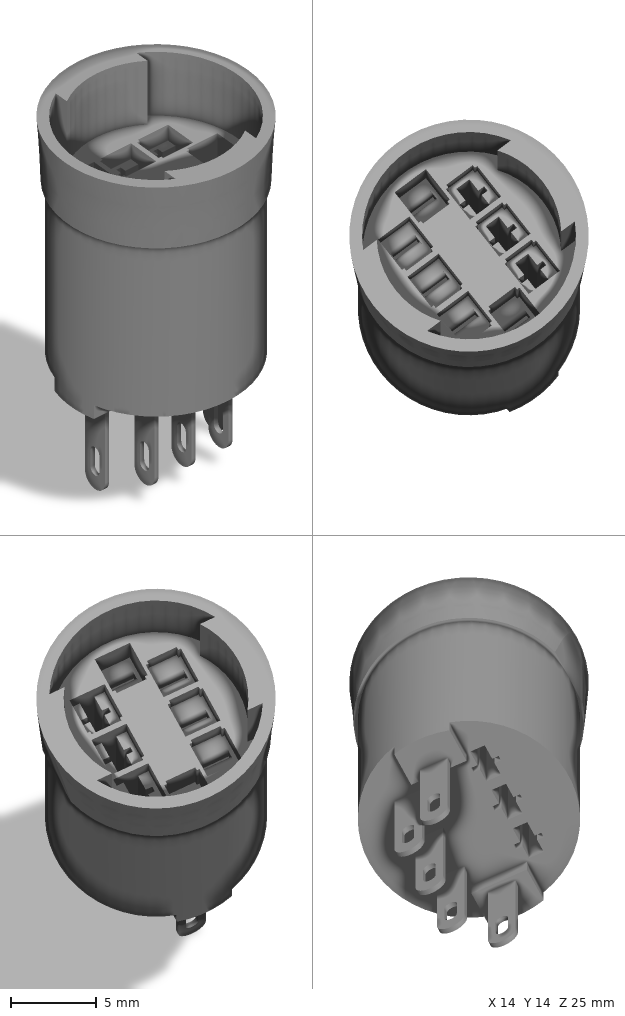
import cadquery as cq

total_height = 25.0
collar_height = 4.62
socket_depth = 4.65
body_bottom = 7.9
tab_height = 1.0
collar_bottom = total_height - collar_height
socket_floor = total_height - socket_depth
tab_bottom = body_bottom - tab_height

body_radius = 6.5
rim_radius = 7.0
collar_foot_radius = 6.75
socket_radius = 6.25

key_radius = 5.4
key_half_width = 3.08

tab_width = 3.6
tab_inner_y = 4.0

column_x = 2.5
row_pitch = 2.82
outer_cell_y = 4.5
cell_size = 2.3
relief_width = 1.95
relief_depth = 0.2
cell_depth = 1.15
deep_cell_depth = cell_depth + tab_height

keyway_width = 0.95
keyway_foot = 1.02

pin_width = 1.8
pin_thickness = 0.32
pin_root_depth = 0.38
short_pin_tip = tab_height
long_pin_tip = 0.0
eye_width = 0.8
eye_length = 2.05
eye_above_tip = 2.02
mouth_width = 0.82
mouth_gap = 0.3
mouth_depth = 0.75
lead_in_radius = (mouth_width - mouth_gap) / 2


def box_between(x_range, y_range, z_range):
    """Box spanning the given (low, high) ranges along X, Y and Z."""
    spans = [high - low for low, high in (x_range, y_range, z_range)]
    corner = (x_range[0], y_range[0], z_range[0])
    return cq.Workplane("XY").box(*spans, centered=False).translate(corner)


def cylinder(radius, bottom, top):
    return cq.Workplane("XY").workplane(offset=bottom).circle(radius).extrude(top - bottom)


def make_collar():
    """Conical collar with one flat, leaning outward from the body to the rim, on the -X side."""
    collar = (
        cq.Workplane("XZ")
        .moveTo(0, collar_bottom)
        .lineTo(collar_foot_radius, collar_bottom)
        .lineTo(rim_radius, total_height)
        .lineTo(0, total_height)
        .close()
        .revolve(360, (0, 0), (0, 1))
    )
    flat_cutter = (
        cq.Workplane("XZ")
        .polyline([
            (-rim_radius, total_height),
            (-body_radius, collar_bottom),
            (-rim_radius, collar_bottom),
        ])
        .close()
        .extrude(rim_radius, both=True)
    )
    return collar.cut(flat_cutter)


def make_socket():
    """Round socket, narrowed by the two keys that reach from floor to rim."""
    wide = cylinder(socket_radius, socket_floor, total_height)
    key_band = box_between(
        (-rim_radius, rim_radius),
        (-key_half_width, key_half_width),
        (socket_floor, total_height),
    )
    return wide.cut(key_band).union(cylinder(key_radius, socket_floor, total_height))


def make_tab(side):
    """Tab under the body edge at +Y (side 1) or -Y (side -1)."""
    y_range = sorted((side * tab_inner_y, side * body_radius))
    block = box_between((-tab_width / 2, tab_width / 2), y_range, (tab_bottom, body_bottom))
    return block.intersect(cylinder(body_radius, tab_bottom, body_bottom))


def make_cell(x, y, relief_side, depth):
    """Square cell with a shallow relief along its +Y (1) or -Y (-1) wall."""
    floor = socket_floor - depth
    half = cell_size / 2
    square = box_between((x - half, x + half), (y - half, y + half), (floor, socket_floor))
    relief_range = sorted((y, y + relief_side * (half + relief_depth)))
    relief = box_between(
        (x - relief_width / 2, x + relief_width / 2), relief_range, (floor, socket_floor)
    )
    return square.union(relief)


def make_open_slot(x, y):
    """Cross-shaped opening from an empty cell down through the body."""
    z_range = (body_bottom, socket_floor)
    blade_slot = box_between(
        (x - pin_width / 2, x + pin_width / 2),
        (y - pin_thickness / 2, y + pin_thickness / 2),
        z_range,
    )
    keyway = box_between(
        (x - keyway_width / 2, x + keyway_width / 2),
        (y - keyway_foot, y + cell_size / 2),
        z_range,
    )
    return blade_slot.union(keyway)


def make_contact_mouth(x, y, cell_floor):
    """Blind contact slot whose long edges are rounded over as a lead-in."""
    gap = mouth_gap / 2
    mouth = mouth_width / 2
    radius = lead_in_radius
    profile = (
        cq.Workplane("YZ")
        .moveTo(gap, -mouth_depth)
        .lineTo(gap, -radius)
        .radiusArc((mouth, 0), radius)
        .lineTo(-mouth, 0)
        .radiusArc((-gap, -radius), radius)
        .lineTo(-gap, -mouth_depth)
        .close()
    )
    return profile.extrude(pin_width / 2, both=True).translate((x, y, cell_floor))


def make_pin(x, y, top, tip):
    """Flat solder pin with a rounded end and a slotted eye."""
    end_radius = pin_width / 2
    blade = (
        cq.Workplane("XZ")
        .moveTo(-end_radius, top)
        .lineTo(-end_radius, tip + end_radius)
        .threePointArc((0, tip), (end_radius, tip + end_radius))
        .lineTo(end_radius, top)
        .close()
        .extrude(pin_thickness / 2, both=True)
    )
    eye = (
        cq.Workplane("XZ")
        .center(0, tip + eye_above_tip)
        .slot2D(eye_length, eye_width, 90)
        .extrude(pin_thickness, both=True)
    )
    return blade.cut(eye).translate((x, y, 0))


def add_contact(part, x, y, relief_side, depth, housing_bottom, pin_tip):
    """Cut a cell with its contact mouth and hang the pin below it."""
    part = part.cut(make_cell(x, y, relief_side, depth))
    part = part.cut(make_contact_mouth(x, y, socket_floor - depth))
    pin_top = housing_bottom + pin_root_depth
    return part.union(make_pin(x, y, pin_top, pin_tip))


result = cylinder(body_radius, body_bottom, collar_bottom).union(make_collar())
result = result.cut(make_socket())

for side in (1, -1):
    result = result.union(make_tab(side))
    contact_y = side * outer_cell_y
    result = add_contact(result, 0, contact_y, -side, deep_cell_depth, tab_bottom, long_pin_tip)

for row in (-1, 0, 1):
    row_y = row * row_pitch
    result = add_contact(result, column_x, row_y, 1, cell_depth, body_bottom, short_pin_tip)
    result = result.cut(make_cell(-column_x, row_y, -1, cell_depth))
    result = result.cut(make_open_slot(-column_x, row_y))